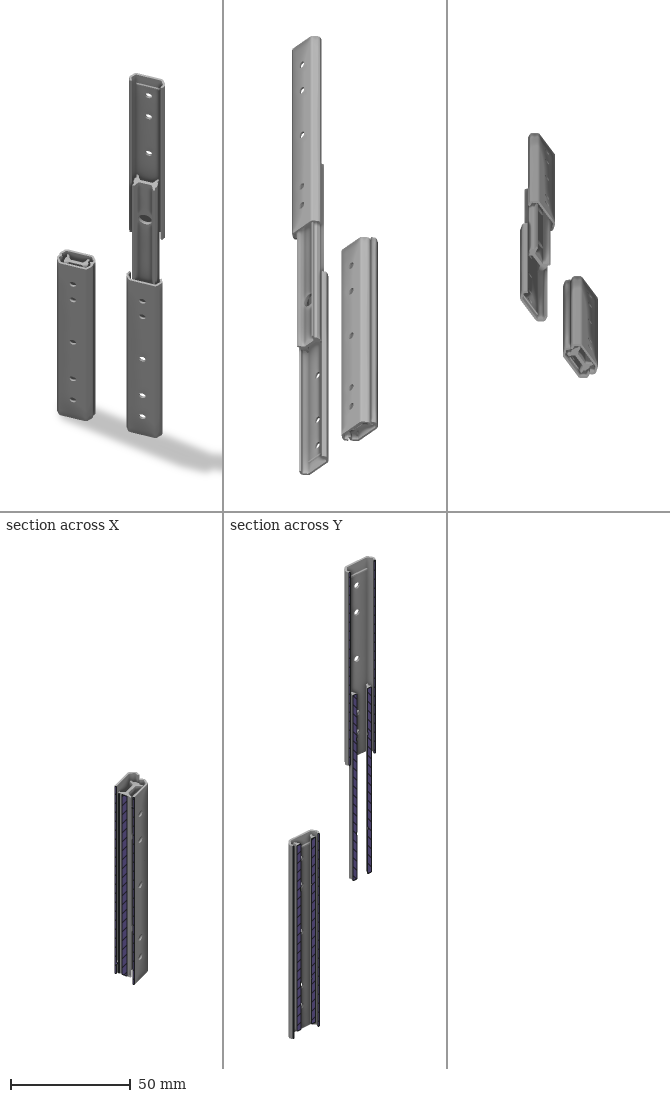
import cadquery as cq
import math


overall_width = 46.0
overall_depth = 9.8
overall_height = 227.0

rail_width = 15.7
rail_length = 99.9
sheet_thickness = 1.0
floor_width = 10.5
bend_end_x = 6.5
bend_end_depth = 4.0
flank_end_x = 7.3
flank_end_depth = 3.2
crease_depth = 1.7
lip_tip_x = 7.0
flank_tilt = 46
raceway_tilt = 92
lip_gap = 0.2
closed_offset = 2.0
mounting_hole_diameter = 3.0
mounting_hole_heights = [12.0, 25.9, 50.0, 77.9, 88.0]
stop_height = 6.0
stop_width = 1.4
stop_crest_width = 0.7
stop_depth = 0.5

inner_length = 96.0
inner_width = 10.2
inner_depth = 6.1
web_thickness = 1.4
web_width = 5.5
flange_middle_height = 1.8
flange_groove = (4.5, 1.7)
flange_tip_outer_x = 5.0
flange_tip_inner_x = 4.0
flange_root = (3.5, 1.5)
access_hole_diameter = 6.0
access_hole_inset = 23.5

slide_x = (overall_width - rail_width) / 2
rail_floor_y = overall_depth / 2
top_z = overall_height / 2
closed_rear_bottom_z = -top_z
front_bottom_z = closed_rear_bottom_z + closed_offset
closed_rear_top_z = closed_rear_bottom_z + rail_length
closed_inner_z = (front_bottom_z + closed_rear_top_z) / 2
extended_inner_z = (front_bottom_z + top_z) / 2


def inset(point, angle):
    """Move a point of the sheet's outer face to its inner face; the normal is `angle` from the floor's."""
    x, y = point
    return (
        x - sheet_thickness * math.sin(angle),
        y + sheet_thickness * math.cos(angle),
    )


def along(angle):
    """Direction of the sheet where its normal is `angle` from the floor's."""
    return (math.cos(angle), math.sin(angle))


def arc_end_angle(start, end, start_angle):
    """Direction of the normal at the end of an arc that leaves `start` at `start_angle`."""
    chord_angle = math.atan2(end[1] - start[1], end[0] - start[0])
    return 2 * chord_angle - start_angle


def half_rail_outline():
    """Section of the rail on its +X side: floor, bend, flank, raceway and inward lip."""
    floor_end = (floor_width / 2, -rail_floor_y)
    bend_end = (bend_end_x, -bend_end_depth)
    flank_end = (flank_end_x, -flank_end_depth)
    crease = (rail_width / 2, -crease_depth)
    lip_tip = (lip_tip_x, -lip_gap / 2)

    bend_angle = arc_end_angle(floor_end, bend_end, 0)
    flank_angle = math.radians(flank_tilt)
    raceway_angle = math.radians(raceway_tilt)
    lip_angle = math.atan2(lip_tip[1] - crease[1], lip_tip[0] - crease[0])
    crease_angle = (raceway_angle + lip_angle) / 2

    inner_floor_y = -rail_floor_y + sheet_thickness
    return (
        cq.Workplane("XY")
        .moveTo(0, -rail_floor_y)
        .lineTo(*floor_end)
        .tangentArcPoint(bend_end, relative=False)
        .spline(
            [flank_end, crease],
            tangents=[along(bend_angle), along(raceway_angle)],
            includeCurrent=True,
        )
        .lineTo(*lip_tip)
        .lineTo(*inset(lip_tip, lip_angle))
        .lineTo(*inset(crease, crease_angle))
        .spline(
            [inset(flank_end, flank_angle), inset(bend_end, bend_angle)],
            tangents=[along(raceway_angle + math.pi), along(bend_angle + math.pi)],
            includeCurrent=True,
        )
        .tangentArcPoint(inset(floor_end, 0), relative=False)
        .lineTo(0, inner_floor_y)
        .close()
    )


def hole_cutter(z, diameter):
    """A cylinder along Y that passes through the whole depth of a slide."""
    return (
        cq.Workplane("XZ", origin=(0, 0, z))
        .circle(diameter / 2)
        .extrude(overall_depth, both=True)
    )


def floor_stop():
    """A low ridge with sloping sides across the inside of the floor."""
    inner_floor_y = -rail_floor_y + sheet_thickness
    return (
        cq.Workplane("YZ")
        .moveTo(inner_floor_y, stop_height - stop_width / 2)
        .lineTo(inner_floor_y + stop_depth, stop_height - stop_crest_width / 2)
        .lineTo(inner_floor_y + stop_depth, stop_height + stop_crest_width / 2)
        .lineTo(inner_floor_y, stop_height + stop_width / 2)
        .close()
        .extrude(floor_width / 2, both=True)
    )


def make_rail():
    """A rail with its floor toward -Y and its outer end at Z = 0."""
    half = half_rail_outline().extrude(rail_length)
    rail = half.union(half.mirror("YZ")).union(floor_stop()).clean()
    for height in mounting_hole_heights:
        rail = rail.cut(hole_cutter(height, mounting_hole_diameter))
    return rail


def make_front_rail(x):
    return make_rail().translate((x, 0, front_bottom_z))


def make_rear_rail(x, end_z):
    """A rail turned over about X, so that its outer end is up, at `end_z`."""
    return make_rail().rotate((0, 0, 0), (1, 0, 0), 180).translate((x, 0, end_z))


def make_intermediate_rail(x, center_z):
    """An I-shaped rail: a web with a grooved flange along each side."""
    quarter = (
        cq.Workplane("XY")
        .moveTo(0, 0)
        .lineTo(inner_width / 2, 0)
        .lineTo(inner_width / 2, flange_middle_height / 2)
        .lineTo(*flange_groove)
        .lineTo(flange_tip_outer_x, inner_depth / 2)
        .lineTo(flange_tip_inner_x, inner_depth / 2)
        .lineTo(*flange_root)
        .lineTo(web_width / 2, web_thickness / 2)
        .lineTo(0, web_thickness / 2)
        .close()
        .extrude(inner_length / 2, both=True)
    )
    half = quarter.union(quarter.mirror("YZ"))
    rail = half.union(half.mirror("XZ")).clean()
    hole_z = inner_length / 2 - access_hole_inset
    for z in (-hole_z, hole_z):
        rail = rail.cut(hole_cutter(z, access_hole_diameter))
    return rail.translate((x, 0, center_z))


bodies = []
for x, rear_end_z, inner_z in [
    (-slide_x, closed_rear_top_z, closed_inner_z),
    (slide_x, top_z, extended_inner_z),
]:
    bodies.append(make_front_rail(x).solids().val())
    bodies.append(make_rear_rail(x, rear_end_z).solids().val())
    bodies.append(make_intermediate_rail(x, inner_z).solids().val())

result = cq.Compound.makeCompound(bodies)